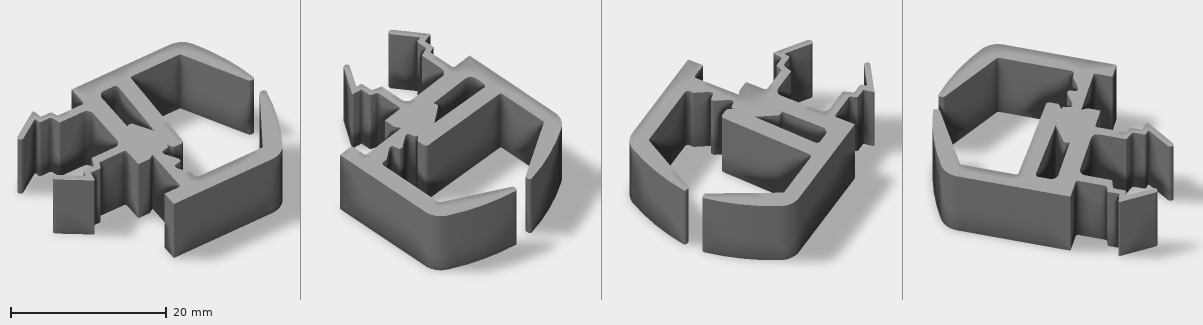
import cadquery as cq
import math


width = 24.5
depth = 10.0
center_x = width / 2

jaw_gap = 2.35
jaw_side_y = 16.7
jaw_mid = (5.37, 19.45)
jaw_tip_top_y = 21.05
jaw_tip_low_y = 20.2
jaw_inner_y = 15.2
jaw_tip_x = center_x - jaw_gap / 2
jaw_shoulder_radius = 2.95
jaw_tip_radius = 0.32

housing_wall = 2.18
base_width = 16.0
base_height = 2.45
base_chamfer_x = 0.47
base_chamfer_y = 0.73
slot_x = 2.45
slot_top_y = 5.35
arm_root_y = 7.55
arm_end_y = 7.1
arm_end_x = 15.83

tooth_count = 3
tooth_pitch = 3.0
crest_x = 11.98
crest_y = 4.95
root_y = 3.8
crest_length = 0.47
tooth_face_run = 0.25
root_length = 0.5
ramp_run = tooth_pitch - crest_length - tooth_face_run - root_length
ramp_slope = (crest_y - root_y) / ramp_run
rack_end_x = 9.32
tooth_radius = 0.22

clamp_wall = 2.45
clamp_foot = 2.2

leg_center_x = base_width / 2
leg_inner = 3.8
leg_outer = 5.0
step_inner = 5.18
step_outer = 5.97
outer_knee_y = -4.08
outer_step_y = -4.45
inner_knee_y = -4.5
inner_step_y = -4.95
barb_root_y = -6.0
barb_y = -6.25
finger_root_y = -6.75
finger_angle = math.radians(55.5)
finger_radius = 0.4
finger_tip_x = 4.27
finger_tip_y = -10.62 + finger_radius

small_radius = 0.32
tiny_radius = 0.15
pocket_radius = 0.47
large_radius = 0.95


def round_corners(body, radius, points):
    """Round the upright edges that stand on the given XY points."""
    for x, y in points:
        edge = cq.selectors.NearestToPointSelector((x, y, depth / 2))
        body = body.edges("|Z").edges(edge).fillet(radius)
    return body


def tooth_points(index):
    """Crest start, crest end, root start and root end of one tooth."""
    start = crest_x + index * tooth_pitch
    crest_end = start + crest_length
    root_start = crest_end + tooth_face_run
    return [
        (start, crest_y),
        (crest_end, crest_y),
        (root_start, root_y),
        (root_start + root_length, root_y),
    ]


def make_snap_leg(side):
    """Snap leg on one side (-1 left, +1 right) with a barb and an inward finger."""

    def at(offset, y):
        return (leg_center_x + side * offset, y)

    along_x = math.cos(finger_angle)
    along_y = math.sin(finger_angle)
    tip_out_x = finger_tip_x + finger_radius * along_y
    tip_out_y = finger_tip_y - finger_radius * along_x
    tip_in_x = finger_tip_x - finger_radius * along_y
    tip_in_y = finger_tip_y + finger_radius * along_x
    barb_x = tip_out_x + (barb_y - tip_out_y) / math.tan(finger_angle)
    finger_root_x = tip_in_x + (finger_root_y - tip_in_y) / math.tan(finger_angle)

    barb = at(barb_x, barb_y)
    finger_root = at(finger_root_x, finger_root_y)
    inner_heel = at(step_inner, finger_root_y)
    inner_step = at(step_inner, inner_step_y)
    outer_knee = at(leg_outer, outer_knee_y)
    outer_step = at(step_outer, outer_step_y)
    inner_knee = at(leg_inner, inner_knee_y)
    leg = (
        cq.Workplane("XY")
        .moveTo(*at(leg_outer, 0))
        .lineTo(*outer_knee)
        .lineTo(*outer_step)
        .lineTo(*at(step_outer, barb_root_y))
        .lineTo(*barb)
        .lineTo(*at(tip_out_x, tip_out_y))
        .threePointArc(
            at(finger_tip_x - finger_radius * along_x, finger_tip_y - finger_radius * along_y),
            at(tip_in_x, tip_in_y),
        )
        .lineTo(*finger_root)
        .lineTo(*inner_heel)
        .lineTo(*inner_step)
        .lineTo(*inner_knee)
        .lineTo(*at(leg_inner, base_height / 2))
        .lineTo(*at(leg_outer, base_height / 2))
        .close()
        .extrude(depth)
    )
    leg = round_corners(leg, tiny_radius, [barb, finger_root, outer_knee, outer_step, inner_knee])
    return round_corners(leg, small_radius, [inner_heel, inner_step])


def make_housing():
    """Left half: jaw, side wall, hook arm, base and the two snap legs."""
    _, notch, hook_start, hook_end = tooth_points(0)
    arm_low = (arm_end_x, root_y + (arm_end_x - hook_end[0]) * ramp_slope)
    arm_top = (arm_end_x, arm_end_y)
    arm_root = (housing_wall, arm_root_y)
    jaw_side = (0, jaw_side_y)
    jaw_top = (jaw_tip_x, jaw_tip_top_y)
    jaw_low = (jaw_tip_x, jaw_tip_low_y)
    jaw_inner = (housing_wall, jaw_inner_y)
    slot_top = (slot_x, slot_top_y)
    slot_floor = (slot_x, base_height)

    body = (
        cq.Workplane("XY")
        .lineTo(*jaw_side)
        .threePointArc(jaw_mid, jaw_top)
        .lineTo(*jaw_low)
        .lineTo(*jaw_inner)
        .lineTo(*arm_root)
        .lineTo(*arm_top)
        .lineTo(*arm_low)
        .lineTo(*hook_end)
        .lineTo(*hook_start)
        .lineTo(*notch)
        .lineTo(*slot_top)
        .lineTo(*slot_floor)
        .lineTo(base_width - base_chamfer_x, base_height)
        .lineTo(base_width, base_height - base_chamfer_y)
        .lineTo(base_width, 0)
        .close()
        .extrude(depth)
    )
    body = round_corners(body, jaw_shoulder_radius, [jaw_side])
    body = round_corners(body, jaw_tip_radius, [jaw_top, jaw_low])
    body = round_corners(body, small_radius, [jaw_inner, arm_root, arm_low])
    body = round_corners(body, pocket_radius, [arm_top, slot_top])
    body = round_corners(body, large_radius, [slot_floor])
    body = round_corners(body, tooth_radius, [hook_end, hook_start])
    body = round_corners(body, tiny_radius, [notch])

    for side in (-1, 1):
        body = body.union(make_snap_leg(side))
        body = round_corners(body, large_radius, [(leg_center_x + side * leg_inner, 0)])
        body = round_corners(body, small_radius, [(leg_center_x + side * leg_outer, 0)])
    return body


def make_clamp():
    """Right half: jaw, side wall with foot, and the toothed rack."""
    inner_x = width - clamp_wall
    foot_x = width - clamp_foot
    rack_top = (rack_end_x, crest_y - (crest_x - rack_end_x) * ramp_slope)
    rack_low = (rack_end_x, base_height)
    foot_corner = (foot_x, base_height)
    rack_corner = (inner_x, crest_y)
    jaw_side = (width, jaw_side_y)
    jaw_top = (width - jaw_tip_x, jaw_tip_top_y)
    jaw_low = (width - jaw_tip_x, jaw_tip_low_y)
    jaw_inner = (inner_x, jaw_inner_y)
    teeth = [tooth_points(index) for index in range(tooth_count)]

    outline = (
        cq.Workplane("XY")
        .moveTo(width, 0)
        .lineTo(*jaw_side)
        .threePointArc((width - jaw_mid[0], jaw_mid[1]), jaw_top)
        .lineTo(*jaw_low)
        .lineTo(*jaw_inner)
        .lineTo(*rack_corner)
        .lineTo(crest_x + tooth_count * tooth_pitch, crest_y)
    )
    for tooth in reversed(teeth):
        for point in reversed(tooth):
            outline = outline.lineTo(*point)
    body = (
        outline.lineTo(*rack_top)
        .lineTo(*rack_low)
        .lineTo(*foot_corner)
        .lineTo(foot_x, 0)
        .close()
        .extrude(depth)
    )
    body = round_corners(body, jaw_shoulder_radius, [jaw_side])
    body = round_corners(body, jaw_tip_radius, [jaw_top, jaw_low])
    body = round_corners(body, small_radius, [jaw_inner, rack_top, rack_low, foot_corner])
    body = round_corners(body, pocket_radius, [rack_corner])
    for tooth in teeth:
        body = round_corners(body, tooth_radius, tooth[1:])
    return body


housing = make_housing()
clamp = make_clamp()

result = cq.Compound.makeCompound([housing.solids().val(), clamp.solids().val()])